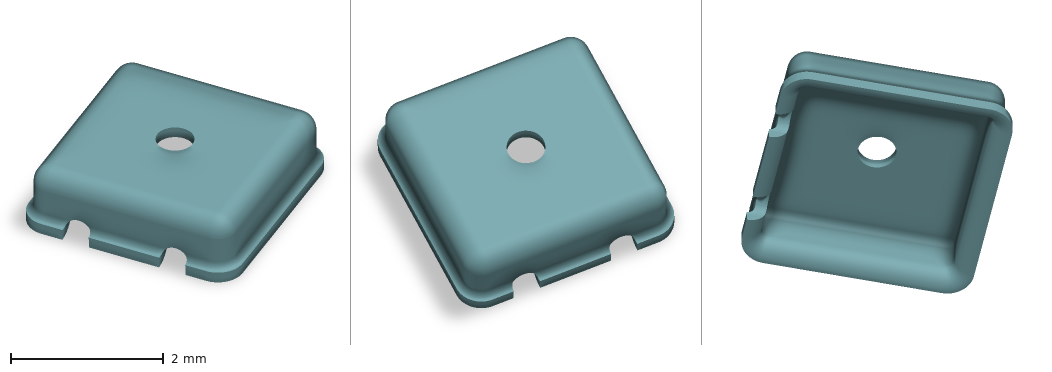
import cadquery as cq

overall_width = 3.1
overall_height = 0.89
sheet_thickness = 0.158
inside_bend_radius = 0.1
hole_diameter = 0.508
notch_width = 0.385
notch_height = 0.307
notch_spacing = 1.4

outside_bend_radius = inside_bend_radius + sheet_thickness
flare = inside_bend_radius
wall_width = overall_width - 2 * flare
cavity_width = wall_width - 2 * sheet_thickness
wall_bottom = outside_bend_radius
cavity_top = overall_height - sheet_thickness


def rounded_block(width, bottom, top, radius):
    """Square block with equally rounded vertical and top edges."""
    block = cq.Workplane("XY").workplane(offset=bottom).rect(width, width).extrude(top - bottom)
    return block.edges("|Z or >Z").fillet(radius)


def flared_rim():
    """Sheet that bends outward below the walls, swept around the perimeter."""
    edge_y = -overall_width / 2
    wall_y = -wall_width / 2
    cavity_y = -cavity_width / 2
    bend_center_z = wall_bottom
    diagonal = 0.5 ** 0.5
    profile = (
        cq.Workplane("YZ")
        .moveTo(edge_y, 0)
        .lineTo(edge_y, sheet_thickness)
        .threePointArc(
            (edge_y + inside_bend_radius * diagonal, bend_center_z - inside_bend_radius * diagonal),
            (wall_y, wall_bottom),
        )
        .lineTo(cavity_y, wall_bottom)
        .threePointArc(
            (edge_y + outside_bend_radius * diagonal, bend_center_z - outside_bend_radius * diagonal),
            (edge_y, 0),
        )
        .close()
    )
    half = wall_width / 2
    straight = half - outside_bend_radius
    corner = straight + outside_bend_radius * diagonal
    path = (
        cq.Workplane("XY", origin=(0, 0, wall_bottom))
        .moveTo(0, -half)
        .lineTo(straight, -half)
        .threePointArc((corner, -corner), (half, -straight))
        .lineTo(half, straight)
        .threePointArc((corner, corner), (straight, half))
        .lineTo(-straight, half)
        .threePointArc((-corner, corner), (-half, straight))
        .lineTo(-half, -straight)
        .threePointArc((-corner, -corner), (-straight, -half))
        .close()
    )
    return profile.sweep(path)


def notch(center_x):
    """Round-topped opening through the front wall and rim."""
    radius = notch_width / 2
    shoulder = notch_height - radius
    return (
        cq.Workplane("XZ", origin=(center_x, 0, 0))
        .moveTo(-radius, 0)
        .lineTo(-radius, shoulder)
        .threePointArc((0, notch_height), (radius, shoulder))
        .lineTo(radius, 0)
        .close()
        .extrude(overall_width / 2)
    )


cap = rounded_block(wall_width, wall_bottom, overall_height, outside_bend_radius)
cap = cap.cut(rounded_block(cavity_width, wall_bottom, cavity_top, inside_bend_radius))
lid = cap.union(flared_rim())

lid = lid.cut(cq.Workplane("XY").circle(hole_diameter / 2).extrude(overall_height))

for side in (-1, 1):
    lid = lid.cut(notch(side * notch_spacing / 2))

result = lid.clean()